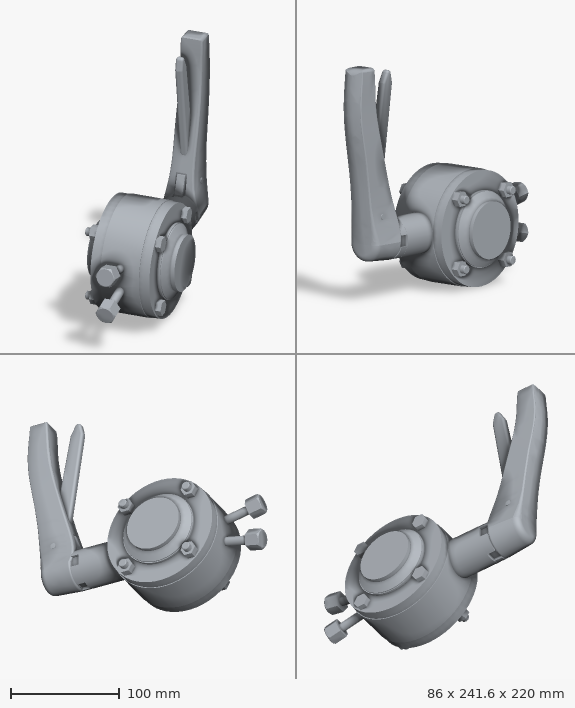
import cadquery as cq
import math

BODY_R = 55.0
FLANGE_R = 54.2
FLANGE_FACE_X = 29.0
BODY_HALF_WIDTH = 19.0

PIPE_R = 26.75
PIPE_END_X = 43.0
CONE_SMALL_X = 38.5
CONE_LARGE_X = 33.4
COLLAR_R = 36.0
COLLAR_LIP_R = 35.2
COLLAR_X = 32.4
GROOVE_R = 35.2
GROOVE_X = 29.8

BOLT_CIRCLE_R = 46.0
BOLT_COUNT = 4
BOLT_R = 4.0
BOLT_END_X = -41.3
BOLT_CHAMFER = 0.6
HEX_SIDES = 6
HEX_FLATS = 13.0
NUT_HEIGHT = 7.0
HEAD_HEIGHT = 5.5

NECK_R = 19.0
NECK_END_Y = 89.2
RING_R = 18.9
RING_END_Y = 97.7
STEM_R = 17.0
STEM_END_Y = 100.0
NOTCH_WIDTH = 11.0
NOTCH_DEPTH = 4.0
NOTCH_COUNT = 4

PORT_ANGLE = 12.0
PORT_R = 4.2
PORT_NUT_START = 79.5
PORT_NUT_END = 93.6
PORT_NUT_FLATS = 17.2
PORT_NUT_CHAMFER = 1.8

HANDLE_TOP_Z = BODY_R + 110.0
FRONT_EDGE_R = 1.8
HANDLE_SECTIONS = [
    (0, 98.2, 132.0, NECK_R, 16.5, 6.5, 0.5),
    (27.5, 98.7, 134.2, 13.0, 12.6, 1.8, 1.0),
    (55, 106.6, 137.2, 11.3, 11.6, 1.2, 1.3),
    (82.5, 114.2, 141.8, 11.7, 11.6, 1.2, 1.8),
    (110, 120.8, 146.8, 11.2, 11.0, 1.2, 2.0),
    (137.5, 124.5, 148.15, 10.8, 10.7, 1.2, 2.2),
    (HANDLE_TOP_Z, 126.4, 146.2, 10.4, 10.2, 1.2, 2.2),
]

TRIM_REACH = 200.0
TRIM_CORNER_Z = HANDLE_TOP_Z - 15
TOP_FRONT_CHAMFER = 2.5
TOP_FLAT_FRONT_Y = 127.4
TOP_FLAT_BACK_Y = 139.0
TOP_BACK_ARC_MIDDLE = (144.0, HANDLE_TOP_Z - 2)
TOP_BACK_ARC_END = (146.5, HANDLE_TOP_Z - 6)
TOP_FLAT_HALF_WIDTH = 7.6
TOP_SIDE_ARC_MIDDLE = (9.6, HANDLE_TOP_Z - 1.1)
TOP_SIDE_ARC_END = (10.8, HANDLE_TOP_Z - 4.2)

LEVER_WIDTH = 7.4
LEVER_EDGE_R = 2.4
LEVER_FRONT = [(110, 40), (106.3, 54.4), (92.8, 146), (94.8, 155.5)]
LEVER_TIP = (98, 158.1)
LEVER_BACK = [(101.2, 155.5), (105.8, 147), (117, 87), (125, 40)]

LATCH_WIDTH = 7.8
LATCH_TOP_Z = 36.5
LATCH_SHOULDER_Y = 100.0
LATCH_TIP_Y = 93.1
LATCH_TIP_Z = 19.3
LATCH_BOTTOM_Z = 17.5
LATCH_ROOT_Y = 104.0
WINDOW_DEPTH = 4.0
WINDOW_TOP_Z = 38.0
WINDOW_BOTTOM_Z = NECK_R - NOTCH_DEPTH

PIN_Y = 118.0
PIN_Z = 25.2
PIN_R = 2.8
PIN_HALF_LENGTH = 13.8


def x_cylinder(radius, x_from, x_to):
    return cq.Workplane("YZ", origin=(x_from, 0, 0)).circle(radius).extrude(x_to - x_from)


def y_cylinder(radius, y_from, y_to):
    return cq.Workplane("XZ", origin=(0, y_from, 0)).circle(radius).extrude(y_from - y_to)


def hex_corners(flats):
    """Across-corners size of a hexagon with the given size across flats."""
    return flats / math.cos(math.pi / HEX_SIDES)


def make_body():
    """Round middle body between two slightly smaller flanges."""
    body = x_cylinder(BODY_R, -BODY_HALF_WIDTH, BODY_HALF_WIDTH)
    return body.union(x_cylinder(FLANGE_R, -FLANGE_FACE_X, FLANGE_FACE_X))


def make_weld_end():
    """Collar, cone and pipe stub on the +X side."""
    profile = [
        (0, 0),
        (0, GROOVE_R),
        (GROOVE_X, GROOVE_R),
        (GROOVE_X, COLLAR_R),
        (COLLAR_X, COLLAR_R),
        (COLLAR_X, COLLAR_LIP_R),
        (CONE_LARGE_X, COLLAR_LIP_R),
        (CONE_SMALL_X, PIPE_R),
        (PIPE_END_X, PIPE_R),
        (PIPE_END_X, 0),
    ]
    return cq.Workplane("XY").polyline(profile).close().revolve(360, (0, 0, 0), (1, 0, 0))


def make_bolt():
    """Bolt along X at the YZ origin: nut on the -X flange, head on the +X flange."""
    hexagon = hex_corners(HEX_FLATS)
    shank = x_cylinder(BOLT_R, BOLT_END_X, 0).faces("<X").chamfer(BOLT_CHAMFER)
    length = 2 * FLANGE_FACE_X + NUT_HEIGHT + HEAD_HEIGHT
    start = -FLANGE_FACE_X - NUT_HEIGHT
    hexes = cq.Workplane("YZ", origin=(start, 0, 0)).polygon(HEX_SIDES, hexagon).extrude(length)
    return shank.union(hexes)


def make_neck():
    """Neck, notched ring and the thinner stem that carries the handle."""
    neck = y_cylinder(NECK_R, 0, NECK_END_Y).union(y_cylinder(RING_R, 0, RING_END_Y))
    neck = neck.union(y_cylinder(STEM_R, 0, STEM_END_Y))
    ring_length = RING_END_Y - NECK_END_Y
    notch = cq.Workplane("XY").box(NOTCH_WIDTH, ring_length, 2 * NOTCH_DEPTH)
    notch = notch.translate((0, NECK_END_Y + ring_length / 2, NECK_R))
    for i in range(NOTCH_COUNT):
        neck = neck.cut(notch.rotate((0, 0, 0), (0, 1, 0), i * 360 / NOTCH_COUNT))
    return neck


def make_port(angle):
    """Tube and hexagon cap pointing to -Y, tilted about X."""
    tube = y_cylinder(PORT_R, 0, -PORT_NUT_END)
    corner_size = hex_corners(PORT_NUT_FLATS)
    cap = cq.Workplane("XZ", origin=(0, -PORT_NUT_START, 0))
    cap = cap.polygon(HEX_SIDES, corner_size).extrude(PORT_NUT_END - PORT_NUT_START)
    turned = y_cylinder(corner_size / 2, -PORT_NUT_START, -PORT_NUT_END)
    turned = turned.faces("<Y").chamfer(PORT_NUT_CHAMFER)
    cap = cap.intersect(turned)
    return tube.union(cap).rotate((0, 0, 0), (1, 0, 0), angle)


def rounded_corner(corner, before, after, radius):
    """Start, middle and end of the arc that rounds a corner between two straight sides."""
    to_before = (cq.Vector(*before) - cq.Vector(*corner)).normalized()
    to_after = (cq.Vector(*after) - cq.Vector(*corner)).normalized()
    half_angle = to_before.getAngle(to_after) / 2
    trim = radius / math.tan(half_angle)
    bisector = (to_before + to_after).normalized()
    tip = cq.Vector(*corner)
    middle = tip + bisector * (radius / math.sin(half_angle) - radius)
    points = (tip + to_before * trim, middle, tip + to_after * trim)
    return [(p.x, p.y) for p in points]


def half_section(front_y, back_y, front_half, back_half, back_r, back_bow):
    """Front and back corner arcs on the +X side of a handle section."""
    front_corner = (front_half, front_y)
    back_corner = (back_half, back_y - back_bow)
    front_arc = rounded_corner(front_corner, (0, front_y), back_corner, FRONT_EDGE_R)
    back_arc = rounded_corner(back_corner, front_corner, (0, back_y - back_bow), back_r)
    return front_arc, back_arc


def handle_section(z, front_y, back_y, front_half, back_half, back_r, back_bow):
    """Closed handle section at height z: a bowed back and four rounded corners."""
    front_arc, back_arc = half_section(front_y, back_y, front_half, back_half, back_r, back_bow)
    left_front_arc = [(-x, y) for x, y in reversed(front_arc)]
    left_back_arc = [(-x, y) for x, y in reversed(back_arc)]
    return (
        cq.Workplane("XY", origin=(0, 0, z))
        .moveTo(*front_arc[0])
        .threePointArc(*front_arc[1:])
        .lineTo(*back_arc[0])
        .threePointArc(*back_arc[1:])
        .threePointArc((0, back_y), left_back_arc[0])
        .threePointArc(*left_back_arc[1:])
        .lineTo(*left_front_arc[0])
        .threePointArc(*left_front_arc[1:])
        .close()
        .val()
    )


def make_hub():
    """Rounded underside of the handle: half a turn of its lowest section about Y."""
    lowest = HANDLE_SECTIONS[0][1:]
    front_y, back_y = lowest[:2]
    back_bow = lowest[-1]
    front_arc, back_arc = half_section(*lowest)
    bow_half_chord = back_arc[-1][0]
    bow_r = (bow_half_chord ** 2 + back_bow ** 2) / (2 * back_bow)
    middle_x = bow_half_chord / 2
    middle_y = back_y - bow_r + math.sqrt(bow_r ** 2 - middle_x ** 2)
    return (
        cq.Workplane("XY")
        .moveTo(0, front_y)
        .lineTo(*front_arc[0])
        .threePointArc(*front_arc[1:])
        .lineTo(*back_arc[0])
        .threePointArc(*back_arc[1:])
        .threePointArc((middle_x, middle_y), (0, back_y))
        .close()
        .revolve(180, (0, 0, 0), (0, 1, 0))
    )


def make_top_side_trim():
    """Volume that slopes the top edge at the front and rounds it at the back."""
    return (
        cq.Workplane("YZ", origin=(-TRIM_REACH / 2, 0, 0))
        .moveTo(0, 0)
        .lineTo(0, HANDLE_TOP_Z - TOP_FRONT_CHAMFER)
        .lineTo(TOP_FLAT_FRONT_Y - TOP_FRONT_CHAMFER, HANDLE_TOP_Z - TOP_FRONT_CHAMFER)
        .lineTo(TOP_FLAT_FRONT_Y, HANDLE_TOP_Z)
        .lineTo(TOP_FLAT_BACK_Y, HANDLE_TOP_Z)
        .threePointArc(TOP_BACK_ARC_MIDDLE, TOP_BACK_ARC_END)
        .lineTo(TRIM_REACH, TRIM_CORNER_Z)
        .lineTo(TRIM_REACH, 0)
        .close()
        .extrude(TRIM_REACH)
    )


def make_top_front_trim():
    """Volume that rounds the two long edges of the top."""
    half = (
        cq.Workplane("XZ")
        .moveTo(0, 0)
        .lineTo(0, HANDLE_TOP_Z)
        .lineTo(TOP_FLAT_HALF_WIDTH, HANDLE_TOP_Z)
        .threePointArc(TOP_SIDE_ARC_MIDDLE, TOP_SIDE_ARC_END)
        .lineTo(2 * NECK_R, TRIM_CORNER_Z)
        .lineTo(2 * NECK_R, 0)
        .close()
        .extrude(-TRIM_REACH)
    )
    return half.union(half.mirror("YZ"))


def make_window():
    """Window in the handle front, above the top notch of the ring."""
    height = WINDOW_TOP_Z - WINDOW_BOTTOM_Z
    window = cq.Workplane("XY").box(NOTCH_WIDTH, 2 * WINDOW_DEPTH, height)
    return window.translate((0, RING_END_Y, WINDOW_BOTTOM_Z + height / 2))


def make_latch():
    """Wedge-shaped foot that reaches into the top notch."""
    outline = [
        (LATCH_ROOT_Y, LATCH_TOP_Z),
        (LATCH_SHOULDER_Y, LATCH_TOP_Z),
        (LATCH_TIP_Y, LATCH_TIP_Z),
        (LATCH_TIP_Y, LATCH_BOTTOM_Z),
        (LATCH_ROOT_Y, LATCH_BOTTOM_Z),
    ]
    latch = cq.Workplane("YZ", origin=(-LATCH_WIDTH / 2, 0, 0))
    return latch.polyline(outline).close().extrude(LATCH_WIDTH)


def make_lever():
    """Trigger lever with rounded edges; its lower end lies inside the grip."""
    lever = (
        cq.Workplane("YZ", origin=(-LEVER_WIDTH / 2, 0, 0))
        .polyline(LEVER_FRONT)
        .threePointArc(LEVER_TIP, LEVER_BACK[0])
        .polyline(LEVER_BACK[1:], includeCurrent=True)
        .close()
        .extrude(LEVER_WIDTH)
    )
    return lever.faces("<X or >X").edges().fillet(LEVER_EDGE_R)


def make_pin():
    """Pivot pin across the handle, standing slightly proud of its sides."""
    return x_cylinder(PIN_R, -PIN_HALF_LENGTH, PIN_HALF_LENGTH).translate((0, PIN_Y, PIN_Z))


def make_handle():
    """Grip lofted through its sections, with a rounded top, hub, lever and pin."""
    sections = [handle_section(*values) for values in HANDLE_SECTIONS]
    grip = cq.Workplane(cq.Solid.makeLoft(sections))
    grip = grip.intersect(make_top_side_trim()).intersect(make_top_front_trim())
    return grip.union(make_hub()).union(make_lever()).union(make_pin())


result = make_body()
weld_end = make_weld_end()
result = result.union(weld_end).union(weld_end.mirror("YZ"))
for i in range(BOLT_COUNT):
    angle = math.radians((i + 0.5) * 360 / BOLT_COUNT)
    bolt_y = BOLT_CIRCLE_R * math.cos(angle)
    bolt_z = BOLT_CIRCLE_R * math.sin(angle)
    result = result.union(make_bolt().translate((0, bolt_y, bolt_z)))
result = result.union(make_neck())
for port_angle in (-PORT_ANGLE, PORT_ANGLE):
    result = result.union(make_port(port_angle))
result = result.union(make_handle()).cut(make_window()).union(make_latch())